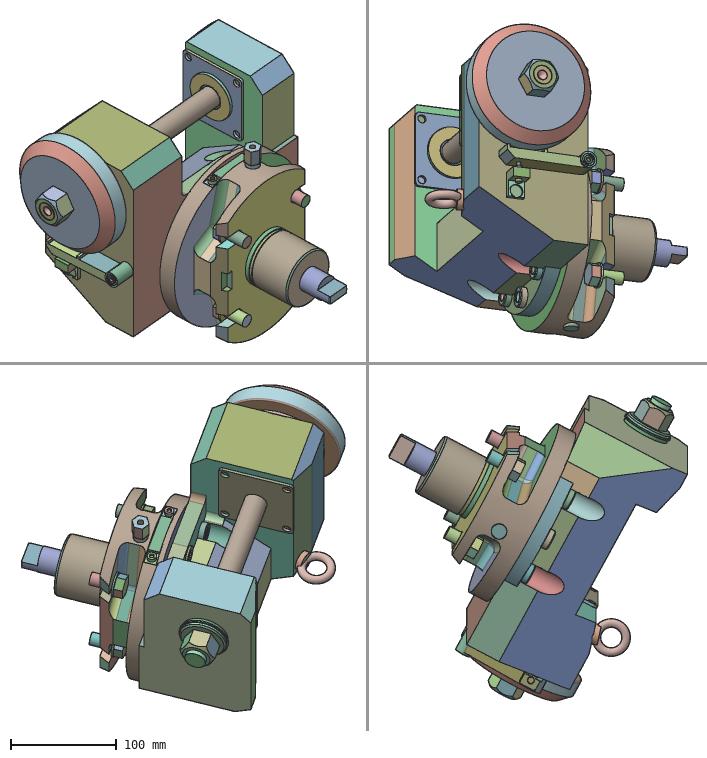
import cadquery as cq
import math


HOUSING_FRONT = -110.5
HOUSING_TOP = 140.2
HOUSING_BOTTOM = -50.5
SLOPE_TOP = -6.5
SLOPE_END = -34.7
FAR_ARM = (62.0, 107.5)
NEAR_ARM = (-127.8, -58.5)
FRONT_CHAMFER = 10.5
BACK_CHAMFER = 15.3
FAR_ARM_BACK = -4.8
TAPER_DEPTH = 9.0
TAPER_WIDTH = 30.5
CORNER_CUT = 35.0
BRIDGE_FRONT = -79.5
BRIDGE_EDGE = 24.0
BRIDGE_TOP = 51.2
BRIDGE_SHELF = -33.7
ARM_FILLET = 6.5

PLATE_RADIUS = 75.7
PLATE_THICKNESS = 15.3
BOLT_CIRCLE = 63.0

ARBOR_X = -65.2
ARBOR_Z = 95.0
ARBOR_RADIUS = 11.0
ARBOR_START = -177.8
ARBOR_END = 140.2
NUT_FLATS = 30.2
WHEEL_RADIUS = 60.0
WHEEL_RIM = 49.5
WHEEL_BACK = -131.3
WHEEL_CONE = -148.0
WHEEL_FACE = -158.5
BEARING_COVER = 73.8
COVER_THICKNESS = 3.0

FLANGE_RADIUS = 90.0
DISC_THICKNESS = 18.5
FLANGE_BACK = 55.0
FLANGE_HALF_WIDTH = 62.3
POCKET_END = 44.2
POCKET_CORNER = (33.0, 35.5)
POCKET_RIM_Y = 20.5
POCKET_RIM_Z = 19.7
POCKET_FILLET = 7.5
CORNER_FILLET = 6.5
CLAMP_BOLT_Y = 42.0
CLAMP_BOLT_Z = 47.0
BOLT_RADIUS = 6.5

BOSS_RADIUS = 30.2
BOSS_END = 107.8
SPINDLE_RADIUS = 12.7
SPINDLE_SHOULDER = 129.7
SPINDLE_END = 145.5
TANG_THICKNESS = 9.0


def block(x, y, z):
    """Box given by its (low, high) range along each axis."""
    size = [high - low for low, high in (x, y, z)]
    return cq.Workplane("XY").box(*size, centered=False).translate((x[0], y[0], z[0]))


def rod_x(x, y, z, radius):
    """Cylinder along X over the range x."""
    return cq.Workplane("YZ", origin=(x[0], y, z)).circle(radius).extrude(x[1] - x[0])


def rod_y(x, y, z, radius):
    """Cylinder along Y over the range y."""
    return cq.Workplane("XZ", origin=(x, y[0], z)).circle(radius).extrude(y[0] - y[1])


def rod_z(x, y, z, radius):
    """Cylinder along Z over the range z."""
    return cq.Workplane("XY", origin=(x, y, z[0])).circle(radius).extrude(z[1] - z[0])


def prism_y(points, y):
    """Outline in X and Z, extruded over the range y."""
    return cq.Workplane("XZ", origin=(0, y[0], 0)).polyline(points).close().extrude(y[0] - y[1])


def prism_z(points, z):
    """Outline in X and Y, extruded over the range z."""
    return cq.Workplane("XY", origin=(0, 0, z[0])).polyline(points).close().extrude(z[1] - z[0])


def drilled_x(x, y, z, radius):
    """Blind hole along +X with a 45 degree drill point; x is the range of its straight part."""
    tip = cq.Solid.makeCone(radius, 0, radius, pnt=cq.Vector(x[1], y, z), dir=cq.Vector(1, 0, 0))
    return rod_x(x, y, z, radius).union(cq.Workplane(tip))


def corners(flats):
    """Corner-to-corner size of a hexagon."""
    return flats / math.cos(math.pi / 6)


def arm(y, inner, taper_direction, back):
    """One arm of the fork; its inner front corner is tapered."""
    side = prism_y(
        [
            (HOUSING_FRONT, SLOPE_TOP),
            (HOUSING_FRONT, HOUSING_TOP - FRONT_CHAMFER),
            (HOUSING_FRONT + FRONT_CHAMFER, HOUSING_TOP),
            (back - BACK_CHAMFER, HOUSING_TOP),
            (back, HOUSING_TOP - BACK_CHAMFER),
            (back, HOUSING_BOTTOM),
            (SLOPE_END, HOUSING_BOTTOM),
        ],
        y,
    )
    taper = prism_z(
        [
            (HOUSING_FRONT, inner + taper_direction * TAPER_WIDTH),
            (HOUSING_FRONT, inner),
            (HOUSING_FRONT + TAPER_DEPTH, inner),
        ],
        (HOUSING_BOTTOM, HOUSING_TOP),
    )
    return side.cut(taper)


def bridge():
    """Block joining both arms, with a sloped top and a flat shelf behind it."""
    slope = (HOUSING_BOTTOM - SLOPE_TOP) / (SLOPE_END - HOUSING_FRONT)
    front_bottom = SLOPE_TOP + slope * (BRIDGE_FRONT - HOUSING_FRONT)
    return prism_y(
        [
            (BRIDGE_FRONT, front_bottom),
            (BRIDGE_FRONT, BRIDGE_EDGE),
            (BRIDGE_SHELF, BRIDGE_TOP),
            (0, BRIDGE_TOP),
            (0, HOUSING_BOTTOM),
            (SLOPE_END, HOUSING_BOTTOM),
        ],
        (NEAR_ARM[1], FAR_ARM[1]),
    )


def arm_fillet(x, z):
    """Concave fillet between the -Y arm and a flat top at height z."""
    y = (NEAR_ARM[1], NEAR_ARM[1] + ARM_FILLET)
    corner = block(x, y, (z, z + ARM_FILLET))
    return corner.cut(rod_x(x, y[1], z + ARM_FILLET, ARM_FILLET))


def backing_plate():
    """Round plate against the flange, squared off up to the -Y arm."""
    plate_x = (-PLATE_THICKNESS, 0)
    plate = rod_x(plate_x, 0, 0, PLATE_RADIUS)
    plate = plate.union(block(plate_x, (NEAR_ARM[1], 0), (0, PLATE_RADIUS)))
    return plate.union(arm_fillet(plate_x, PLATE_RADIUS))


def cap_screw(y, z):
    """Socket head screw standing on the backing plate."""
    head_radius = 10.0
    head_height = 6.7
    socket_radius = 5.5
    face = -PLATE_THICKNESS - head_height
    head = rod_x((face, -PLATE_THICKNESS), y, z, head_radius).faces("<X").chamfer(1.0)
    return head.cut(drilled_x((face, face + 1.0), y, z, socket_radius))


def housing():
    body = arm(FAR_ARM, FAR_ARM[0], 1, FAR_ARM_BACK)
    body = body.union(arm(NEAR_ARM, NEAR_ARM[1], -1, 0)).union(bridge())
    body = body.union(arm_fillet((BRIDGE_SHELF, 0), BRIDGE_TOP))
    corner = (
        cq.Workplane("YZ", origin=(HOUSING_FRONT, 0, 0))
        .moveTo(FAR_ARM[1], HOUSING_BOTTOM)
        .lineTo(FAR_ARM[1] - CORNER_CUT, HOUSING_BOTTOM)
        .lineTo(FAR_ARM[1], HOUSING_BOTTOM + CORNER_CUT)
        .close()
        .extrude(-HOUSING_FRONT)
    )
    body = body.cut(corner).union(backing_plate())

    screw_y = 40.5
    screw_z = math.sqrt(BOLT_CIRCLE**2 - screw_y**2)
    clearance = 10.5
    screws = [(y, z) for y in (-screw_y, screw_y) for z in (-screw_z, screw_z)]
    for y, z in screws:
        body = body.cut(rod_x((BRIDGE_FRONT, -PLATE_THICKNESS), y, z, clearance))
    for y, z in screws + [(0, -BOLT_CIRCLE)]:
        body = body.union(cap_screw(y, z))

    plug_radius = 9.2
    plug_recess_radius = 5.5
    plug_face = -PLATE_THICKNESS - 2.2
    plug = rod_x((plug_face, -PLATE_THICKNESS), 0, BOLT_CIRCLE, plug_radius)
    plug = plug.cut(rod_x((plug_face, plug_face + 1.3), 0, BOLT_CIRCLE, plug_recess_radius))
    return body.union(plug)


def bearing_cover(y):
    """Square cover plate with four corner holes, centred on the arbor."""
    hole_pitch = BEARING_COVER - 12.7
    return (
        cq.Workplane("XZ", origin=(ARBOR_X, y[1], ARBOR_Z))
        .rect(BEARING_COVER, BEARING_COVER)
        .extrude(y[1] - y[0])
        .edges("|Y")
        .fillet(3.8)
        .faces("<Y")
        .workplane()
        .rect(hole_pitch, hole_pitch, forConstruction=True)
        .vertices()
        .hole(8.0)
    )


def arbor_nut(y, outer_face):
    """Hexagon nut whose corners are chamfered by a cone at its outer face."""
    across = corners(NUT_FLATS)
    nut = cq.Workplane("XZ", origin=(ARBOR_X, y[1], ARBOR_Z)).polygon(6, across).extrude(y[1] - y[0])
    envelope = rod_y(ARBOR_X, y, ARBOR_Z, across / 2).faces(outer_face).chamfer(3.8)
    return nut.intersect(envelope)


def wheel():
    """Guard wheel: a straight rim, then a cone down to the flat outer face."""
    rim = rod_y(ARBOR_X, (WHEEL_CONE, WHEEL_BACK), ARBOR_Z, WHEEL_RADIUS)
    rim = rim.faces(">Y").edges().fillet(1.3)
    cone = (
        cq.Workplane("XZ", origin=(ARBOR_X, WHEEL_CONE, ARBOR_Z))
        .circle(WHEEL_RADIUS)
        .workplane(offset=WHEEL_CONE - WHEEL_FACE)
        .circle(WHEEL_RIM)
        .loft(ruled=True)
    )
    hub_radius = 44.8
    hub = rod_y(ARBOR_X, (WHEEL_BACK, NEAR_ARM[0]), ARBOR_Z, hub_radius)
    return rim.union(cone).union(hub)


def arbor():
    nut_height = 19.5
    far_nut_start = 116.5
    thread_radius = 10.2
    washer_radius = 23.0
    thin_washer_y = (111.0, 112.5)
    thin_washer_radius = 24.2
    bearing_ring_y = (FAR_ARM[0] - 6.0, FAR_ARM[0])
    bearing_ring_radius = 25.0
    stages = [
        ((WHEEL_FACE, far_nut_start), ARBOR_RADIUS),
        ((far_nut_start, ARBOR_END), thread_radius),
        (thin_washer_y, thin_washer_radius),
        (bearing_ring_y, bearing_ring_radius),
    ]
    shaft = wheel()
    for y, radius in stages:
        shaft = shaft.union(rod_y(ARBOR_X, y, ARBOR_Z, radius))
    washer = rod_y(ARBOR_X, (FAR_ARM[1], far_nut_start), ARBOR_Z, washer_radius)
    shaft = shaft.union(washer.faces(">Y").chamfer(1.5))
    shaft = shaft.union(bearing_cover((FAR_ARM[0] - COVER_THICKNESS, FAR_ARM[0])))
    shaft = shaft.union(bearing_cover((NEAR_ARM[1], NEAR_ARM[1] + COVER_THICKNESS)))
    shaft = shaft.union(arbor_nut((ARBOR_START, WHEEL_FACE), "<Y"))
    shaft = shaft.union(arbor_nut((far_nut_start, far_nut_start + nut_height), ">Y"))

    recess_radius = 13.0
    recess_y = (bearing_ring_y[0], bearing_ring_y[0] + 1.3)
    recess = rod_y(ARBOR_X, recess_y, ARBOR_Z, recess_radius)
    shaft = shaft.cut(recess.cut(rod_y(ARBOR_X, recess_y, ARBOR_Z, ARBOR_RADIUS)))

    counterbore_radius = 9.2
    counterbore_y = (ARBOR_START, ARBOR_START + 1.0)
    shaft = shaft.cut(rod_y(ARBOR_X, counterbore_y, ARBOR_Z, counterbore_radius))
    centre_radius = 4.8
    centre_hole = drilled_x((0, 1.5), 0, 0, centre_radius).rotate((0, 0, 0), (0, 0, 1), 90)
    return shaft.cut(centre_hole.translate((ARBOR_X, ARBOR_START, ARBOR_Z)))


def corner_pocket():
    """Cutter for the pocket in the +Y, +Z corner: two walls leaning outward from an inner corner."""
    corner_y, corner_z = POCKET_CORNER
    rim_z = math.sqrt(FLANGE_RADIUS**2 - POCKET_RIM_Y**2)
    wall_lean = (corner_y - POCKET_RIM_Y) / (rim_z - corner_z)
    floor_lean = (corner_z - POCKET_RIM_Z) / (FLANGE_HALF_WIDTH - corner_y)
    outside = FLANGE_RADIUS + 6.5
    pocket = (
        cq.Workplane("YZ", origin=(DISC_THICKNESS, 0, 0))
        .moveTo(corner_y, corner_z)
        .lineTo(outside, corner_z - floor_lean * (outside - corner_y))
        .lineTo(outside, outside)
        .lineTo(corner_y - wall_lean * (outside - corner_z), outside)
        .close()
        .extrude(POCKET_END - DISC_THICKNESS)
    )
    corner_point = ((DISC_THICKNESS + POCKET_END) / 2, corner_y, corner_z)
    pocket = pocket.edges(cq.selectors.NearestToPointSelector(corner_point)).fillet(CORNER_FILLET)
    inner_loop = cq.selectors.BoxSelector((0, 0, 0), (FLANGE_BACK, outside - 3.2, outside - 3.2))
    return pocket.faces("<X or >X").edges(inner_loop).fillet(POCKET_FILLET)


def clamp_bolt(y, z):
    """Hexagon bolt with a washer, seated on the pocket's back wall."""
    head_corners = 23.0
    washer_radius = 12.0
    head_start = 33.5
    washer_start = 42.3
    thread_end = 67.5
    head = (
        cq.Workplane("YZ", origin=(head_start, y, z))
        .transformed(rotate=(0, 0, 90))
        .polygon(6, head_corners)
        .extrude(washer_start - head_start)
    )
    washer = rod_x((washer_start, POCKET_END), y, z, washer_radius)
    return head.union(washer).union(rod_x((POCKET_END, thread_end), y, z, BOLT_RADIUS))


def bolt_slot(y, z):
    """Slot cutter that lets a clamp bolt slide in from the flange's nearer flat side."""
    clearance = 0.5
    slot_radius = BOLT_RADIUS + clearance
    slot_x = (POCKET_END, FLANGE_BACK)
    side = math.copysign(FLANGE_HALF_WIDTH, y)
    opening = block(slot_x, (min(y, side), max(y, side)), (z - slot_radius, z + slot_radius))
    return opening.union(rod_x(slot_x, y, z, slot_radius))


def clamp_strip():
    """Notch cutter and fill for a strip between two screws, in a flat on top of the disc."""
    strip_x = (5.7, 17.8)
    centre_x = sum(strip_x) / 2
    flat_z = 82.7
    half_length = 34.7
    strip_half_length = 21.0
    strip_top = flat_z + 3.0
    screw_inset = 6.7
    screw_top = flat_z + 4.0
    socket_floor = flat_z + 2.0
    strip = block(strip_x, (-strip_half_length, strip_half_length), (flat_z, strip_top))
    for side in (-1, 1):
        y = side * (half_length - screw_inset)
        screw = rod_z(centre_x, y, (flat_z, screw_top), 4.5)
        strip = strip.union(screw.cut(rod_z(centre_x, y, (socket_floor, screw_top), 2.2)))
    notch = block(strip_x, (-half_length, half_length), (flat_z, FLANGE_RADIUS))
    return notch, strip


def coolant_fittings():
    """Hexagonal nozzle on top and a plug diametrically opposite."""
    x = 28.3
    y = 10.5
    nozzle_top = 110.7
    bore_radius = 3.0
    bore_depth = 9.5
    flats = 14.5
    root = FLANGE_RADIUS - 3.2
    neck_top = FLANGE_RADIUS + 4.0
    across = corners(flats)
    neck = rod_z(x, y, (root, neck_top), flats / 2)
    nozzle = cq.Workplane("XY", origin=(x, y, neck_top)).polygon(6, across)
    nozzle = nozzle.extrude(nozzle_top - neck_top)
    nozzle = nozzle.cut(rod_z(x, y, (nozzle_top - bore_depth, nozzle_top), bore_radius))
    plug = rod_z(x, -y, (-FLANGE_RADIUS - 2.0, -root), flats / 2)
    return neck.union(nozzle).union(plug)


def flange():
    chamfer_start = 39.5
    chamfer_depth = 7.5
    disc = rod_x((0, DISC_THICKNESS), 0, 0, FLANGE_RADIUS)
    half = FLANGE_HALF_WIDTH
    outline = [
        (DISC_THICKNESS, -half),
        (chamfer_start, -half),
        (FLANGE_BACK, chamfer_depth - half),
        (FLANGE_BACK, half - chamfer_depth),
        (chamfer_start, half),
        (DISC_THICKNESS, half),
    ]
    back = rod_x((DISC_THICKNESS, FLANGE_BACK), 0, 0, FLANGE_RADIUS)
    back = back.intersect(prism_z(outline, (-FLANGE_RADIUS, FLANGE_RADIUS)))

    pocket = corner_pocket()
    for cutter in (pocket, pocket.mirror("XZ")):
        back = back.cut(cutter).cut(cutter.mirror("XY"))
    for y in (-CLAMP_BOLT_Y, CLAMP_BOLT_Y):
        for z in (-CLAMP_BOLT_Z, CLAMP_BOLT_Z):
            back = back.cut(bolt_slot(y, z))
            back = back.union(clamp_bolt(y, z))

    key_x = (49.0, FLANGE_BACK)
    key_depth = 12.7
    key_half_width = 10.5
    key_slot = block(key_x, (-half, key_depth - half), (-key_half_width, key_half_width))
    back = back.cut(key_slot)

    notch, strip = clamp_strip()
    return disc.union(back).cut(notch).union(strip).union(coolant_fittings())


def spindle():
    groove_x = (59.5, 63.0)
    groove_depth = 1.0
    boss = rod_x((FLANGE_BACK, BOSS_END), 0, 0, BOSS_RADIUS).faces(">X").chamfer(2.0, 1.0)
    ring = rod_x(groove_x, 0, 0, BOSS_RADIUS + 3.2)
    ring = ring.cut(rod_x(groove_x, 0, 0, BOSS_RADIUS - groove_depth))
    shaft = rod_x((BOSS_END, SPINDLE_END), 0, 0, SPINDLE_RADIUS).faces(">X").chamfer(1.0)
    tang_half = TANG_THICKNESS / 2
    for z in ((tang_half, SPINDLE_RADIUS), (-SPINDLE_RADIUS, -tang_half)):
        side = (-SPINDLE_RADIUS, SPINDLE_RADIUS)
        shaft = shaft.cut(block((SPINDLE_SHOULDER, SPINDLE_END), side, z))
    return boss.cut(ring).union(shaft)


def eye_bolt():
    """Lifting eye standing square on the tapered face of the -Y arm."""
    eye_x = -121.8
    eye_y = -66.0
    eye_radius = 14.0
    bar_radius = 4.0
    collar_radius = 10.0
    collar_start = 11.8
    collar_end = 20.7
    tilt = math.degrees(math.atan2(TAPER_DEPTH, TAPER_WIDTH))
    collar = rod_x((collar_start, collar_end), 0, 0, collar_radius)
    collar = collar.rotate((0, 0, 0), (0, 0, 1), -tilt)
    ring = cq.Workplane(cq.Solid.makeTorus(eye_radius, bar_radius))
    return ring.union(collar).translate((eye_x, eye_y, 0))


def stop_lever():
    """Pivoted lever under the wheel with two small fingers on its upper edge."""
    lever_y = (-150.0, NEAR_ARM[0])
    pivot_x = -8.0
    pivot_z = 26.7
    pivot_radius = 8.0
    top = 29.0
    bottom = pivot_z - pivot_radius
    left = -90.3
    corner = 7.3
    finger_width = 3.0
    finger_height = 3.0
    lever = prism_y(
        [
            (left, top),
            (left, bottom + corner),
            (left + corner, bottom),
            (pivot_x, bottom),
            (pivot_x, top),
        ],
        lever_y,
    )
    for x in (left, left + 38.0):
        lever = lever.union(block((x, x + finger_width), lever_y, (top, top + finger_height)))
    taper = 2.2
    taper_outline = [(left, lever_y[0]), (pivot_x, lever_y[0]), (pivot_x, lever_y[0] + taper)]
    lever = lever.cut(prism_z(taper_outline, (bottom, top + finger_height)))
    lever = lever.union(rod_y(pivot_x, lever_y, pivot_z, pivot_radius))

    face = lever_y[0]
    recess = rod_y(pivot_x, (face, face + 1.3), pivot_z, 6.0)
    recess = recess.cut(rod_y(pivot_x, (face, face + 1.3), pivot_z, 4.0))
    socket = rod_y(pivot_x, (face, face + 2.5), pivot_z, 2.2)
    return lever.cut(recess).cut(socket)


def stop_bracket():
    """Angle bracket on the arm with a vertical setting screw under the lever."""
    x = (-82.7, -66.0)
    centre_x = sum(x) / 2
    top = 11.5
    ledge_bottom = 2.0
    bottom = -13.7
    face = NEAR_ARM[0]
    plate_y = (face - 4.8, face)
    ledge_y = (face - 18.0, face)
    recess_y = (plate_y[0], plate_y[0] + 2.0)
    recess_z = -7.5
    recess_radius = 6.5
    bracket = block(x, plate_y, (bottom, top))
    bracket = bracket.union(block(x, ledge_y, (ledge_bottom, top)))
    bracket = bracket.cut(rod_y(centre_x, recess_y, recess_z, recess_radius))

    screw_y = face - 10.5
    nut_z = (ledge_bottom - 3.0, top + 3.8)
    tip_z = (top, 19.0)
    screw = rod_z(centre_x, screw_y, nut_z, 3.2)
    tip = rod_z(centre_x, screw_y, tip_z, 2.0)
    return bracket.union(screw).union(tip)


result = housing()
for feature in (flange, spindle, arbor, eye_bolt, stop_lever, stop_bracket):
    result = result.union(feature())